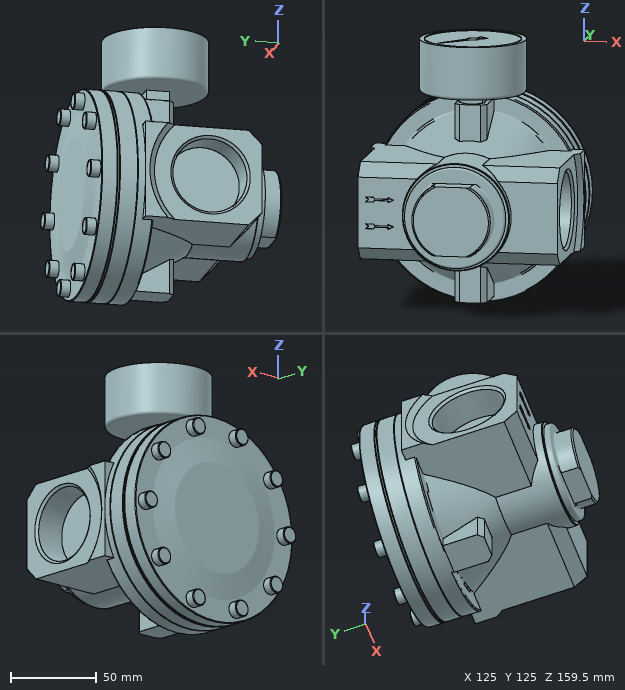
import cadquery as cq
import math


overall_height = 159.5

flange_radius = 125.0 / 2
flange_depth = 32.9
back_chamfer = 0.5
rim_fillet = 0.8
seam_depths = (9.5, 11.0, 21.9)
seam_width = 0.5
seam_groove = 0.2

dome_height = 2.9
dome_base_radius = 48.6
dome_top_radius = 33.5

screw_count = 10
screw_circle_radius = 55.0
screw_diameter = 10.0
screw_height = 6.0
screw_chamfer = 0.5

barrel_radius = 64.0 / 2
barrel_depth = 103.2
barrel_chamfer = 0.5
cone_base_radius = 51.8
cone_angle = math.radians(30)
cone_fillet = 1.5

collar_radius = 60.0 / 2
collar_depth = 107.3
collar_fillet = 1.0
plug_depth = 119.0
plug_face_radius = 44.8 / 2
plug_chamfer = 1.0
plug_radius = plug_face_radius + plug_chamfer
plug_base_fillet = 1.0
plug_across_flats = 41.2

block_length = 2 * flange_radius
block_body_length = 119.0
block_height = 58.0
block_back_depth = 26.5
block_front_depth = 97.6
block_chamfer = 8.0

relief_drop = (block_length - block_body_length) / 2
relief_outer_radius = 43.9
relief_inner_radius = 40.4
relief_depth = 72.9

port_diameter = 44.8
port_chamfer = 1.6
port_center_depth = 66.5
port_length = 20.0

arrow_tail_x = -54.7
arrow_notch = 1.8
arrow_vane = 4.5
arrow_shoulder = 5.5
arrow_neck = 13.4
arrow_length = 16.5
arrow_half_width = 1.5
arrow_shaft_half_width = 0.5
arrow_spacing = 16.0
arrow_height = 0.5

gauge_depth = 48.0
boss_width = 19.1
boss_chamfer = 3.2
boss_reach = 59.0
boss_front_depth = gauge_depth + boss_width / 2

gauge_radius = 63.0 / 2
gauge_top = overall_height - flange_radius
gauge_bottom = 65.4
gauge_fillet = 1.9
dial_radius = 57.0 / 2
dial_recess = 0.5
stem_width = 14.0
stem_chamfer_height = 1.0
needle_thickness = 0.2
needle_hub_radius = 3.5
needle_tip_reach = 25.0
needle_tail_reach = 8.1
needle_tail_half_width = 3.5
needle_neck_half_width = 1.5
needle_root_half_width = 1.8
needle_angle = 225


def forward_disc(radius, back_depth, front_depth):
    """Disc on the regulator axis between two depths."""
    return cq.Workplane("XZ", origin=(0, -back_depth, 0)).circle(radius).extrude(front_depth - back_depth)


def centred_box(length, back_depth, front_depth, height):
    """Box centred in X and Z between two depths."""
    plane = cq.Workplane("XZ", origin=(0, -back_depth, 0))
    return plane.rect(length, height).extrude(front_depth - back_depth)


def make_shell():
    """Flange, cone and barrel turned about the regulator axis."""
    fillet_reach = cone_fillet * math.tan(cone_angle)
    cone_length = (cone_base_radius - barrel_radius) / math.tan(cone_angle)
    fillet_end = (
        cone_base_radius - fillet_reach * math.sin(cone_angle),
        -flange_depth - fillet_reach * math.cos(cone_angle),
    )
    return (
        cq.Workplane("XY")
        .moveTo(0, dome_height)
        .lineTo(dome_top_radius, dome_height)
        .lineTo(dome_base_radius, 0)
        .lineTo(flange_radius - back_chamfer, 0)
        .lineTo(flange_radius, -back_chamfer)
        .lineTo(flange_radius, -flange_depth + rim_fillet)
        .radiusArc((flange_radius - rim_fillet, -flange_depth), rim_fillet)
        .lineTo(cone_base_radius + fillet_reach, -flange_depth)
        .radiusArc(fillet_end, -cone_fillet)
        .lineTo(barrel_radius, -flange_depth - cone_length)
        .lineTo(barrel_radius, -barrel_depth + barrel_chamfer)
        .lineTo(barrel_radius - barrel_chamfer, -barrel_depth)
        .lineTo(0, -barrel_depth)
        .close()
        .revolve(360, (0, 0), (0, 1))
    )


def make_seams():
    """Shallow grooves around the flange where its layers meet."""
    seams = cq.Workplane("XZ")
    for depth in seam_depths:
        start = depth - seam_width / 2
        end = depth + seam_width / 2
        outer = forward_disc(flange_radius + seam_groove, start, end)
        seams = seams.add(outer.cut(forward_disc(flange_radius - seam_groove, start, end)))
    return seams.combine()


def make_screws():
    """Ring of cover screw heads standing on the back face."""
    head = cq.Workplane("XZ").circle(screw_diameter / 2).extrude(-screw_height)
    head = head.faces(">Y").chamfer(screw_chamfer).translate((screw_circle_radius, 0, 0))
    screws = cq.Workplane("XZ")
    for index in range(screw_count):
        screws = screws.add(head.rotate((0, 0, 0), (0, 1, 0), index * 360 / screw_count))
    return screws.combine()


def make_end_plug():
    """Collar and round plug with two wrench flats."""
    collar = forward_disc(collar_radius, barrel_depth, collar_depth).edges().fillet(collar_fillet)
    plug = (
        cq.Workplane("XY")
        .moveTo(0, -collar_depth)
        .lineTo(plug_radius + plug_base_fillet, -collar_depth)
        .radiusArc((plug_radius, -collar_depth - plug_base_fillet), -plug_base_fillet)
        .lineTo(plug_radius, -plug_depth + plug_chamfer)
        .lineTo(plug_face_radius, -plug_depth)
        .lineTo(0, -plug_depth)
        .close()
        .revolve(360, (0, 0), (0, 1))
    )
    flats = centred_box(2 * collar_radius, collar_depth, plug_depth, plug_across_flats)
    return collar.union(plug.intersect(flats))


def make_port_block():
    """Block across the housing with its front edges chamfered."""
    block = centred_box(block_length, block_back_depth, block_front_depth, block_height)
    return block.faces("<Y").edges("|X").chamfer(block_chamfer)


def make_end_relief(side):
    """Conical clearance cut into one end of the block."""
    plane = cq.Plane(
        origin=(side * block_body_length / 2, -relief_depth, 0), xDir=(0, 1, 0), normal=(side, 0, 0)
    )
    return (
        cq.Workplane(plane)
        .circle(relief_inner_radius)
        .workplane(offset=relief_drop)
        .circle(relief_outer_radius)
        .loft()
    )


def make_port(side):
    """Blind port with a chamfered mouth in one end of the block."""
    mouth = (side * block_body_length / 2, -port_center_depth, 0)
    plane = cq.Plane(origin=mouth, xDir=(0, 1, 0), normal=(-side, 0, 0))
    bore = cq.Workplane(plane).circle(port_diameter / 2).extrude(port_length)
    chamfer = (
        cq.Workplane(plane)
        .circle(port_diameter / 2 + port_chamfer)
        .workplane(offset=port_chamfer)
        .circle(port_diameter / 2)
        .loft()
    )
    return bore.union(chamfer)


def make_gauge_bosses():
    """Upright bar whose two ends form the upper and lower gauge bosses."""
    bosses = centred_box(boss_width, block_back_depth, boss_front_depth, 2 * boss_reach)
    return bosses.faces("<Y").edges("|Z").chamfer(boss_chamfer)


def make_arrow(height):
    """Raised flow arrow pointing along +X at the given height."""
    upper = [
        (arrow_notch, 0),
        (0, arrow_half_width),
        (arrow_vane, arrow_half_width),
        (arrow_shoulder, arrow_shaft_half_width),
        (arrow_neck, arrow_shaft_half_width),
        (arrow_neck, arrow_half_width),
        (arrow_length, 0),
    ]
    lower = [(x, -z) for x, z in reversed(upper[1:-1])]
    plane = cq.Workplane("XZ", origin=(arrow_tail_x, -block_front_depth, height))
    return plane.polyline(upper + lower).close().extrude(arrow_height)


def make_regulator():
    """Complete regulator body with its cover, screws, ports and end plug."""
    body = make_shell().cut(make_seams()).union(make_screws())
    body = body.union(make_port_block()).union(make_gauge_bosses()).union(make_end_plug())
    for side in (-1, 1):
        body = body.cut(make_end_relief(side)).cut(make_port(side))
        body = body.union(make_arrow(side * arrow_spacing / 2))
    return body


def make_needle():
    """Dial needle with a round hub, a long point and a flared tail, lying flat at Z = 0."""
    outline = [
        (needle_tip_reach, 0),
        (0, needle_root_half_width),
        (-needle_hub_radius, needle_neck_half_width),
        (-needle_tail_reach, needle_tail_half_width),
    ]
    mirrored = [(x, -y) for x, y in reversed(outline[1:])]
    needle = cq.Workplane("XY").polyline(outline + mirrored).close().extrude(needle_thickness)
    hub = cq.Workplane("XY").circle(needle_hub_radius).extrude(needle_thickness)
    return needle.union(hub).rotate((0, 0, 0), (0, 0, 1), needle_angle)


def make_stem():
    """Square stem with its lower corners turned off, standing on the upper boss."""
    stem_length = gauge_bottom - boss_reach
    corner_radius = stem_width / math.sqrt(2)
    turned = (
        cq.Workplane("XZ")
        .lineTo(stem_width / 2, 0)
        .lineTo(corner_radius, stem_chamfer_height)
        .lineTo(corner_radius, stem_length)
        .lineTo(0, stem_length)
        .close()
        .revolve(360, (0, 0), (0, 1))
    )
    square = cq.Workplane("XY").rect(stem_width, stem_width).extrude(stem_length)
    return square.intersect(turned).translate((0, 0, boss_reach))


def make_gauge():
    """Pressure gauge: case with a recessed dial, needle and stem."""
    case = cq.Workplane("XY", origin=(0, 0, gauge_bottom))
    case = case.circle(gauge_radius).extrude(gauge_top - gauge_bottom)
    case = case.faces("<Z").edges().fillet(gauge_fillet)
    case = case.faces(">Z").workplane().circle(dial_radius).cutBlind(-dial_recess)
    needle = make_needle().translate((0, 0, gauge_top - dial_recess))
    return case.union(needle).union(make_stem()).translate((0, -gauge_depth, 0))


regulator = make_regulator()
gauge = make_gauge()
result = cq.Compound.makeCompound([regulator.solids().val(), gauge.solids().val()])